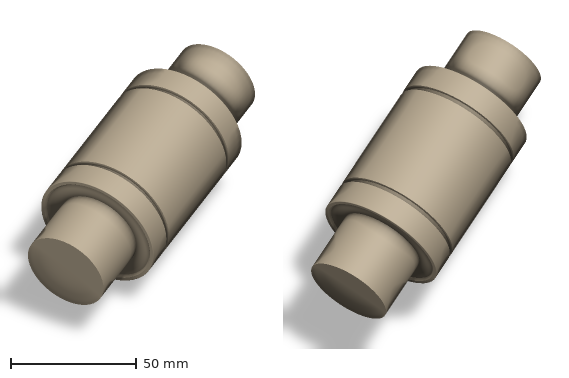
import cadquery as cq

shaft_diameter = 35.0
shaft_length = 120.0

sleeve_diameter = 52.0
sleeve_length = 70.0
rim_radius = 0.2

groove_diameter = 49.0
groove_width = 2.1
groove_outer_span = 49.5

recess_diameter = 47.3
recess_depth = 0.95
recess_bevel = 0.8

both_ends = (-1, 1)


def plane_at(y, direction):
    """Plane across the shaft axis at position y, facing along direction * Y."""
    return cq.Plane(origin=(0, y, 0), xDir=(1, 0, 0), normal=(0, direction, 0))


def cylinder(diameter, length):
    """Cylinder along Y, centred on the origin."""
    return cq.Workplane(plane_at(-length / 2, 1)).circle(diameter / 2).extrude(length)


def groove(end):
    """Ring of material removed for the groove nearer the given end."""
    outer_wall = end * groove_outer_span / 2
    return (
        cq.Workplane(plane_at(outer_wall, -end))
        .circle(sleeve_diameter / 2)
        .circle(groove_diameter / 2)
        .extrude(groove_width)
    )


def end_recess(end):
    """Bevelled disc removed from the given end face of the sleeve."""
    end_face = end * sleeve_length / 2
    bore = cq.Workplane(plane_at(end_face, -end)).circle(recess_diameter / 2).extrude(recess_depth)
    bevel = cq.Solid.makeCone(
        recess_diameter / 2 + recess_bevel,
        recess_diameter / 2,
        recess_bevel,
        cq.Vector(0, end_face, 0),
        cq.Vector(0, -end, 0),
    )
    return bore.union(bevel)


sleeve = cylinder(sleeve_diameter, sleeve_length).edges("%CIRCLE").fillet(rim_radius)
for end in both_ends:
    sleeve = sleeve.cut(groove(end)).cut(end_recess(end))

result = sleeve.union(cylinder(shaft_diameter, shaft_length))